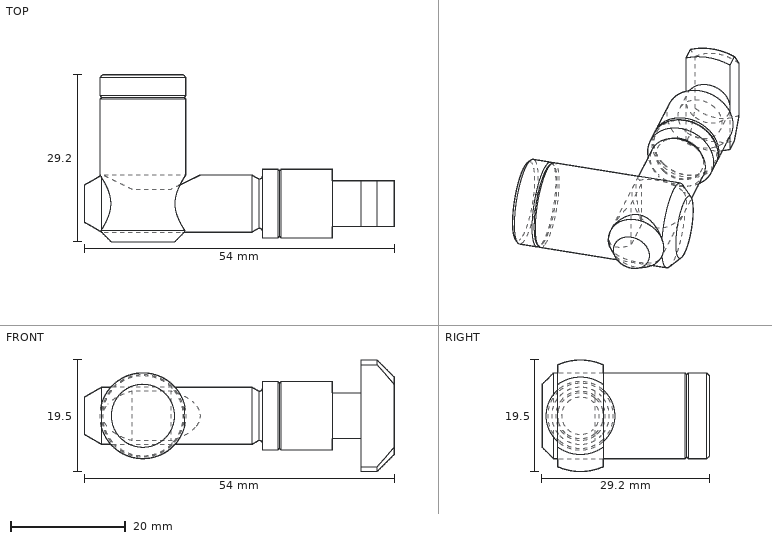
import cadquery as cq
import math


SLEEVE_LENGTH = 29.2
SLEEVE_RADIUS = 7.5
SLEEVE_FRONT_Y = -6.7
SLEEVE_BACK_Y = SLEEVE_FRONT_Y + SLEEVE_LENGTH
FRONT_CHAMFER = 2.0
BACK_CHAMFER = 0.5
SLEEVE_GROOVE_FROM_BACK = 4.0

GROOVE_WIDTH = 0.6
GROOVE_DEPTH = GROOVE_WIDTH / 2

BOLT_LENGTH = 54.0
TIP_X = -10.2
HEAD_END_X = TIP_X + BOLT_LENGTH
TIP_TAPER_LENGTH = 3.0
NECK_TAPER_START_X = 19.0
NECK_TAPER_LENGTH = 1.2
COLLAR_START_X = 20.8
COLLAR_GROOVE_X = COLLAR_START_X + 3.0
COLLAR_END_X = COLLAR_START_X + 12.2
HEAD_THICKNESS = 5.8
HEAD_START_X = HEAD_END_X - HEAD_THICKNESS

ROD_RADIUS = 5.0
COLLAR_RADIUS = 6.0
SHANK_RADIUS = 4.0
HEAD_RADIUS = 9.75
TAPER_SLOPE = math.tan(math.radians(30))
TIP_RADIUS = ROD_RADIUS - TIP_TAPER_LENGTH * TAPER_SLOPE
NECK_RADIUS = ROD_RADIUS - NECK_TAPER_LENGTH * TAPER_SLOPE
NECK_FILLET = 0.5

HEAD_WIDTH = 2 * SHANK_RADIUS
HEAD_CHAMFER = 3.0

NOTCH_START_X = -7.0
NOTCH_END_X = 10.0
NOTCH_DEPTH = 2.5
NOTCH_FLANK_ANGLE = 26.0


def v_ring(radius, center):
    """Cutter for a V groove around the Z axis at height center."""
    return (
        cq.Workplane("XZ")
        .moveTo(radius, center - GROOVE_WIDTH / 2)
        .lineTo(radius - GROOVE_DEPTH, center)
        .lineTo(radius, center + GROOVE_WIDTH / 2)
        .close()
        .revolve(360, (0, 0, 0), (0, 1, 0))
    )


def z_to_x(shape):
    """Turn a shape built along +Z so that it lies along +X."""
    return shape.rotate((0, 0, 0), (0, 1, 0), 90)


def z_to_y(shape):
    """Turn a shape built along +Z so that it lies along +Y."""
    return shape.rotate((0, 0, 0), (1, 0, 0), -90)


def make_sleeve():
    """Chamfered cylinder with a groove near its back end and a cross bore for the bolt."""
    body = (
        cq.Workplane("XY", origin=(0, 0, SLEEVE_FRONT_Y))
        .circle(SLEEVE_RADIUS)
        .extrude(SLEEVE_LENGTH)
    )
    body = body.faces("<Z").chamfer(FRONT_CHAMFER)
    body = body.faces(">Z").chamfer(BACK_CHAMFER)
    body = body.cut(v_ring(SLEEVE_RADIUS, SLEEVE_BACK_Y - SLEEVE_GROOVE_FROM_BACK))
    bore = cq.Workplane("YZ").circle(ROD_RADIUS).extrude(2 * SLEEVE_RADIUS, both=True)
    return z_to_y(body).cut(bore)


def turned_bolt():
    """Tapered rod, neck, grooved collar and shank, turned about one axis."""
    fillet_start = COLLAR_START_X - NECK_FILLET
    fillet_mid_offset = NECK_FILLET * (1 - math.sqrt(0.5))
    profile = (
        cq.Workplane("XZ")
        .moveTo(0, TIP_X)
        .lineTo(TIP_RADIUS, TIP_X)
        .lineTo(ROD_RADIUS, TIP_X + TIP_TAPER_LENGTH)
        .lineTo(ROD_RADIUS, NECK_TAPER_START_X)
        .lineTo(NECK_RADIUS, NECK_TAPER_START_X + NECK_TAPER_LENGTH)
        .lineTo(NECK_RADIUS, fillet_start)
        .threePointArc(
            (NECK_RADIUS + fillet_mid_offset, COLLAR_START_X - fillet_mid_offset),
            (NECK_RADIUS + NECK_FILLET, COLLAR_START_X),
        )
        .lineTo(COLLAR_RADIUS, COLLAR_START_X)
        .lineTo(COLLAR_RADIUS, COLLAR_END_X)
        .lineTo(SHANK_RADIUS, COLLAR_END_X)
        .lineTo(SHANK_RADIUS, HEAD_START_X)
        .lineTo(0, HEAD_START_X)
        .close()
    )
    turned = profile.revolve(360, (0, 0, 0), (0, 1, 0))
    return z_to_x(turned.cut(v_ring(COLLAR_RADIUS, COLLAR_GROOVE_X)))


def t_head():
    """Disc with a chamfered end face, trimmed to the shank width in Y."""
    disc = cq.Workplane("YZ", origin=(HEAD_START_X, 0, 0)).circle(HEAD_RADIUS).extrude(HEAD_THICKNESS)
    disc = disc.faces(">X").chamfer(HEAD_CHAMFER)
    head_middle_x = HEAD_START_X + HEAD_THICKNESS / 2
    trim = cq.Workplane("XY", origin=(head_middle_x, 0, 0)).box(HEAD_THICKNESS, HEAD_WIDTH, 2 * HEAD_RADIUS)
    return disc.intersect(trim)


def clamping_notch():
    """Cutter for a flat-bottomed notch with sloping flanks across the +Y side of the rod."""
    flank_length = NOTCH_DEPTH / math.tan(math.radians(NOTCH_FLANK_ANGLE))
    floor_y = ROD_RADIUS - NOTCH_DEPTH
    return (
        cq.Workplane("XY")
        .moveTo(NOTCH_START_X, ROD_RADIUS)
        .lineTo(NOTCH_START_X + flank_length, floor_y)
        .lineTo(NOTCH_END_X - flank_length, floor_y)
        .lineTo(NOTCH_END_X, ROD_RADIUS)
        .close()
        .extrude(ROD_RADIUS, both=True)
    )


def make_bolt():
    """T-head bolt in one piece."""
    return turned_bolt().union(t_head()).cut(clamping_notch())


sleeve = make_sleeve()
bolt = make_bolt()

result = cq.Compound.makeCompound([sleeve.val(), bolt.val()])